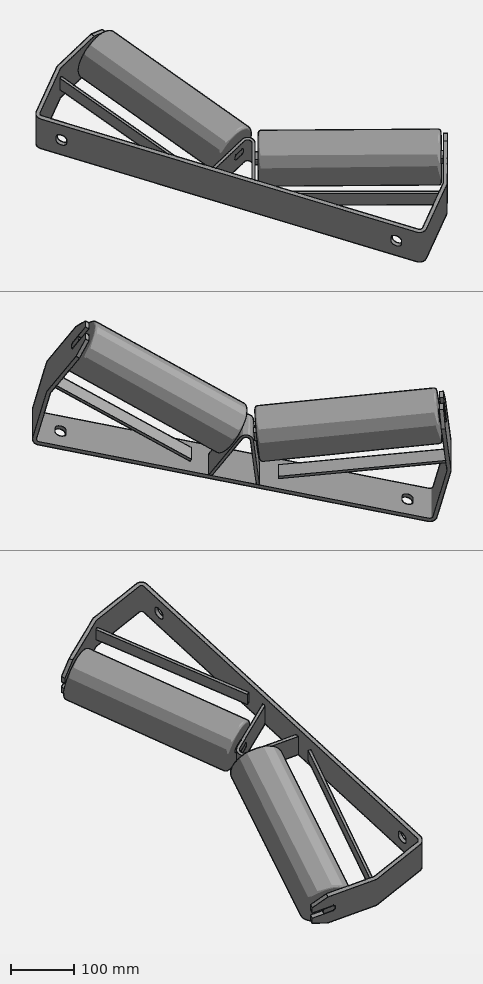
import cadquery as cq
import math

frame_length = 660.0
frame_height = 80.0
frame_thickness = 6.5
corner_radius = 12.0
bend_radius = 12.0
tilt = 20.0
arm_bend_y = 105.5

arm_tip_reach = 29.0
tip_chamfer_along = 27.0
tip_chamfer_across = 16.0
notch_width = 16.0
shaft_clearance = 0.5

mount_slot_inset = 47.0
mount_slot_width = 18.0
mount_slot_height = 26.5

bracket_peak_y = 98.0
bracket_thickness = 4.95
bracket_height = 56.0

brace_thickness = 4.5
brace_start_y = 107.0
brace_height = 31.0
brace_end_x = 70.5
brace_end_y = 12.5

roller_x = 156.5
roller_y = 129.5
roller_z = -3.0
roller_diameter = 89.0
roller_length = 290.0
roller_round = 4.5
roller_drop = 1.2
shaft_diameter = 21.0
shaft_flats = 14.0

sin_tilt = math.sin(math.radians(tilt))
cos_tilt = math.cos(math.radians(tilt))
tan_tilt = sin_tilt / cos_tilt
half_length = frame_length / 2
half_height = frame_height / 2
arm_inner_x = half_length - frame_thickness
arm_inner_bend_y = arm_bend_y - frame_thickness * math.tan(math.radians(tilt / 2))
bracket_inner_radius = bend_radius - bracket_thickness
bracket_centre_y = bracket_peak_y - bend_radius

arm_outer_distance = (half_length - roller_x) * cos_tilt - (roller_y - arm_bend_y) * sin_tilt
bracket_inner_distance = (
    roller_x * cos_tilt + (roller_y - bracket_centre_y) * sin_tilt - bracket_inner_radius
)


def place_left(body):
    """Slope a body built along X and move it to the left roller centre."""
    sloped = body.rotate((0, 0, 0), (0, 0, 1), -tilt)
    return sloped.translate((-roller_x, roller_y, 0))


def left_and_right(left_body):
    """The left body and its mirror image, as two separate solids."""
    return [left_body.solids().val(), left_body.mirror("YZ").solids().val()]


def upright_plate(points):
    """Plate of full height over a closed outline in the XY plane."""
    return cq.Workplane("XY").polyline(points).close().extrude(half_height, both=True)


def upright_edge(x, y):
    """Selector for the Z-parallel edge that passes through (x, y)."""
    margin = 0.5
    return cq.selectors.BoxSelector(
        (x - margin, y - margin, -margin),
        (x + margin, y + margin, margin),
    )


def make_half_frame():
    """Left half of the base bar and the left arm, before cutting."""
    tip_x = -roller_x - arm_outer_distance * cos_tilt + arm_tip_reach * sin_tilt
    tip_y = roller_y + arm_outer_distance * sin_tilt + arm_tip_reach * cos_tilt
    outline = [
        (0, 0),
        (-half_length, 0),
        (-half_length, arm_bend_y),
        (tip_x, tip_y),
        (tip_x + frame_thickness * cos_tilt, tip_y - frame_thickness * sin_tilt),
        (-arm_inner_x, arm_inner_bend_y),
        (-arm_inner_x, frame_thickness),
        (0, frame_thickness),
    ]
    half = upright_plate(outline)
    half = half.edges(upright_edge(-half_length, 0)).fillet(corner_radius)
    half = half.edges(upright_edge(-arm_inner_x, frame_thickness)).fillet(corner_radius - frame_thickness)
    half = half.edges(upright_edge(-half_length, arm_bend_y)).fillet(bend_radius)
    return half.edges(upright_edge(-arm_inner_x, arm_inner_bend_y)).fillet(bend_radius - frame_thickness)


def through_arm(sketch):
    """Extrude a sketch on the arm face through the arm, at the left arm."""
    depth = 2 * frame_thickness
    return place_left(sketch.extrude(depth).translate((-arm_outer_distance - depth / 4, 0, 0)))


def make_notch():
    """Open notch; its round end is concentric with the shaft, clipped to the notch width."""
    end_radius = shaft_diameter / 2 + shaft_clearance
    half_width = notch_width / 2
    flat_start = -math.sqrt(end_radius**2 - half_width**2)
    sketch = (
        cq.Workplane("YZ")
        .moveTo(arm_tip_reach, half_width)
        .lineTo(flat_start, half_width)
        .threePointArc((-end_radius, 0), (flat_start, -half_width))
        .lineTo(arm_tip_reach, -half_width)
        .close()
    )
    return through_arm(sketch)


def make_tip_corner(side):
    """Triangle that chamfers the upper (side=1) or lower (side=-1) corner of the arm tip."""
    edge = side * half_height
    sketch = (
        cq.Workplane("YZ")
        .moveTo(arm_tip_reach, edge)
        .lineTo(arm_tip_reach - tip_chamfer_along, edge)
        .lineTo(arm_tip_reach, edge - side * tip_chamfer_across)
        .close()
    )
    return through_arm(sketch)


def make_mount_slot():
    return (
        cq.Workplane("XZ")
        .center(-half_length + mount_slot_inset, 0)
        .slot2D(mount_slot_height, mount_slot_width, 90)
        .extrude(-frame_thickness)
    )


def make_frame():
    half = make_half_frame().cut(make_notch()).cut(make_mount_slot())
    for side in (1, -1):
        half = half.cut(make_tip_corner(side))
    return half.union(half.mirror("YZ"))


def bracket_wedge(radius):
    """Solid rounded wedge whose sides are tangent to an arc about the bend centre."""
    tangent_x = radius * cos_tilt
    tangent_y = bracket_centre_y + radius * sin_tilt
    foot_x = tangent_x + (tangent_y - frame_thickness) * tan_tilt
    return (
        cq.Workplane("XY", origin=(0, 0, -half_height))
        .moveTo(-foot_x, frame_thickness)
        .lineTo(-tangent_x, tangent_y)
        .threePointArc((0, bracket_centre_y + radius), (tangent_x, tangent_y))
        .lineTo(foot_x, frame_thickness)
        .close()
        .extrude(bracket_height)
    )


def make_bracket(rollers):
    """The shafts fill matching holes in the two legs."""
    bracket = bracket_wedge(bend_radius).cut(bracket_wedge(bracket_inner_radius))
    for roller in rollers:
        bracket = bracket.cut(cq.Workplane(roller))
    return bracket


def make_shaft():
    """Round shaft with two flats, a little longer than the space between its end faces."""
    length = 2 * max(arm_outer_distance, bracket_inner_distance) + shaft_diameter
    shaft = cq.Workplane("YZ").circle(shaft_diameter / 2).extrude(length / 2, both=True)
    flats = cq.Workplane("XY").box(length, shaft_diameter, shaft_flats)
    return shaft.intersect(flats)


def make_left_roller():
    """The shaft ends flush with the arm's outer face and the bracket's inner face."""
    drum = cq.Workplane("YZ").circle(roller_diameter / 2).extrude(roller_length)
    drum = drum.translate((-roller_length / 2, 0, 0)).edges("%CIRCLE").fillet(roller_round)
    roller = drum.union(make_shaft())
    dropped = roller.rotate((0, 0, 0), (0, 1, 0), roller_drop).translate((0, 0, roller_z))
    between_faces = (
        cq.Workplane("XY")
        .box(
            arm_outer_distance + bracket_inner_distance,
            2 * roller_diameter,
            2 * roller_diameter,
            centered=(False, True, True),
        )
        .translate((-arm_outer_distance, 0, 0))
    )
    return place_left(dropped.intersect(between_faces))


def make_left_brace(frame):
    """Square-ended strip, trimmed where it meets the arm and the base."""
    slope = math.atan2(brace_start_y - brace_end_y, arm_inner_x - brace_end_x)
    length = (arm_inner_x - brace_end_x) / math.cos(slope)
    brace = (
        cq.Workplane("XY")
        .box(length, brace_thickness, brace_height, centered=(False, False, True))
        .translate((0, -brace_thickness, 0))
        .rotate((0, 0, 0), (0, 0, 1), -math.degrees(slope))
        .translate((-arm_inner_x, brace_start_y, 0))
    )
    return brace.cut(frame)


frame = make_frame()
rollers = left_and_right(make_left_roller())
braces = left_and_right(make_left_brace(frame))
bracket = make_bracket(rollers)

result = cq.Compound.makeCompound([frame.solids().val(), bracket.solids().val(), *braces, *rollers])